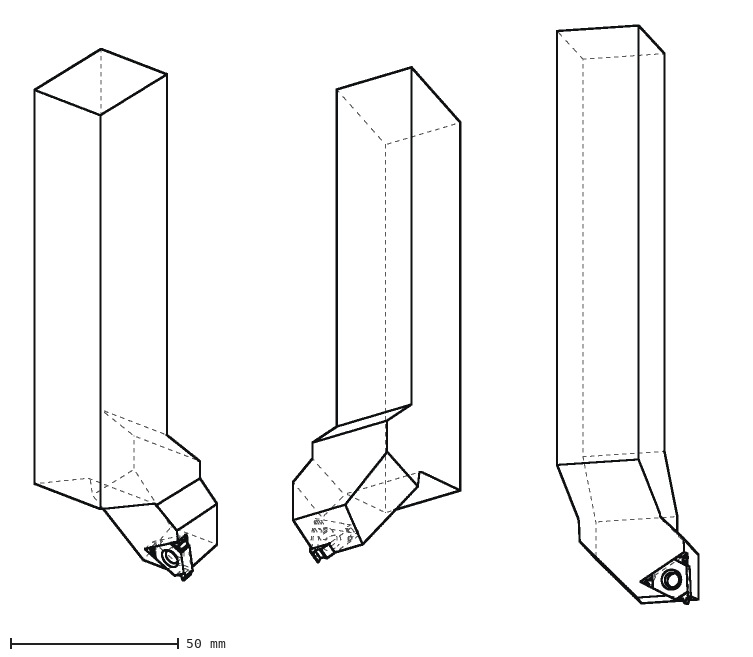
import cadquery as cq
import math

total_length = 170.3
shank_width = 25.0
shank_depth = 32.0
shank_front_bottom = 36.1
underside_angle = 20.0

back_offset = 15.8
back_slope_bottom = 31.5
overall_depth = shank_depth + back_offset
rake_angle = 10.0
rake_reference_y = 28.0
rake_reference_z = 19.6
neck_radius = 2.0
head_bottom = 2.4
head_side = 31.9
head_back_side = 31.5
left_bevel_top = 20.1
bevel_foot_x = 16.9
right_bevel_top = 25.7
right_bevel_bottom = right_bevel_top - (head_side - shank_width)

insert_side = 32.4
insert_center_z = 7.0
inscribed_radius = 4.8
insert_thickness = 4.1
corner_cut_distance = 5.8
hole_radius = 2.2
countersink_radius = 2.98
countersink_depth = 0.9
tooth_drop = 0.5
tooth_tip_x = 3.66
tooth_flank_x = 4.3
tooth_root_x = 3.0
tooth_side_y = -5.5
tooth_shoulder_y = -5.8
tooth_start_x = 0.5
tooth_tip_flat = 0.25

rake_sin = math.sin(math.radians(rake_angle))
rake_cos = math.cos(math.radians(rake_angle))
rake_tan = rake_sin / rake_cos


def rake_y(z):
    """Y of the tilted rake face at height z."""
    return rake_reference_y + (rake_reference_z - z) * rake_tan


rake_plane = cq.Plane(
    origin=(insert_side - inscribed_radius, rake_y(insert_center_z), insert_center_z),
    xDir=(1, 0, 0),
    normal=(0, -rake_cos, -rake_sin),
)


def triangle_prism():
    """Full equilateral triangle, with one side parallel to Z."""
    apex = 2 * inscribed_radius
    half_side = inscribed_radius * math.sqrt(3)
    return (
        cq.Workplane(rake_plane)
        .polyline([(-apex, 0), (inscribed_radius, -half_side), (inscribed_radius, half_side)])
        .close()
        .extrude(-insert_thickness)
    )


def make_side_profile():
    """Cranked side profile with rake face and bottom clearance."""
    underside_tan = math.tan(math.radians(underside_angle))
    neck_y = rake_y(shank_front_bottom) / (1 - underside_tan * rake_tan)
    neck_z = shank_front_bottom - neck_y * underside_tan
    toe_y = rake_y(head_bottom)
    heel_z = head_bottom + (overall_depth - toe_y) * rake_tan
    profile = (
        cq.Workplane("YZ")
        .moveTo(0, total_length)
        .lineTo(0, shank_front_bottom)
        .lineTo(neck_y, neck_z)
        .lineTo(toe_y, head_bottom)
        .lineTo(overall_depth, heel_z)
        .lineTo(overall_depth, back_slope_bottom)
        .lineTo(shank_depth, back_slope_bottom + back_offset)
        .lineTo(shank_depth, total_length)
        .close()
        .extrude(head_side)
    )
    neck_edge = cq.selectors.NearestToPointSelector((head_side / 2, neck_y, neck_z))
    return profile.edges(neck_edge).fillet(neck_radius)


def make_front_profile():
    """Front outline of the shank and the bevelled head, along the full depth."""
    return (
        cq.Workplane("XZ")
        .moveTo(0, total_length)
        .lineTo(0, left_bevel_top)
        .lineTo(bevel_foot_x, head_bottom)
        .lineTo(bevel_foot_x, 0)
        .lineTo(head_side, 0)
        .lineTo(head_side, right_bevel_bottom)
        .lineTo(shank_width, right_bevel_top)
        .lineTo(shank_width, total_length)
        .close()
        .extrude(-overall_depth)
    )


def make_plan_profile():
    """Plan outline that narrows the head towards its back."""
    return (
        cq.Workplane("XY")
        .moveTo(0, 0)
        .lineTo(head_side, 0)
        .lineTo(head_side, rake_y(head_bottom))
        .lineTo(head_back_side, overall_depth)
        .lineTo(0, overall_depth)
        .close()
        .extrude(total_length)
    )


def make_holder():
    blank = make_side_profile().intersect(make_front_profile()).intersect(make_plan_profile())
    return blank.cut(triangle_prism())


def make_insert_body():
    """Triangle with its three corners cut off square to their bisectors."""
    trim_diameter = 2 * (2 * corner_cut_distance)
    corner_trim = (
        cq.Workplane(rake_plane)
        .polygon(3, trim_diameter)
        .extrude(-insert_thickness)
    )
    return triangle_prism().intersect(corner_trim)


def make_tooth(angle):
    """Cutting tooth at one corner, set below the insert face."""
    tip_y = -(insert_center_z + tooth_drop * rake_sin) / rake_cos
    return (
        cq.Workplane(rake_plane)
        .transformed(rotate=(0, 0, angle))
        .workplane(offset=-tooth_drop)
        .moveTo(0, 0)
        .lineTo(tooth_start_x, tooth_shoulder_y)
        .lineTo(tooth_root_x, tooth_shoulder_y)
        .lineTo(tooth_tip_x - tooth_tip_flat / 2, tip_y)
        .lineTo(tooth_tip_x + tooth_tip_flat / 2, tip_y)
        .lineTo(tooth_flank_x, tooth_shoulder_y)
        .lineTo(inscribed_radius, tooth_side_y)
        .lineTo(inscribed_radius, 0)
        .close()
        .extrude(tooth_drop - insert_thickness)
    )


def make_insert():
    insert = make_insert_body()
    for angle in (0, 120, 240):
        insert = insert.union(make_tooth(angle))
    hole = cq.Workplane(rake_plane).circle(hole_radius).extrude(-insert_thickness)
    countersink = (
        cq.Workplane(rake_plane)
        .circle(countersink_radius)
        .workplane(offset=-countersink_depth)
        .circle(hole_radius)
        .loft()
    )
    return insert.cut(hole).cut(countersink)


holder = make_holder()
insert = make_insert()

result = cq.Compound.makeCompound([holder.solids().val(), insert.solids().val()])